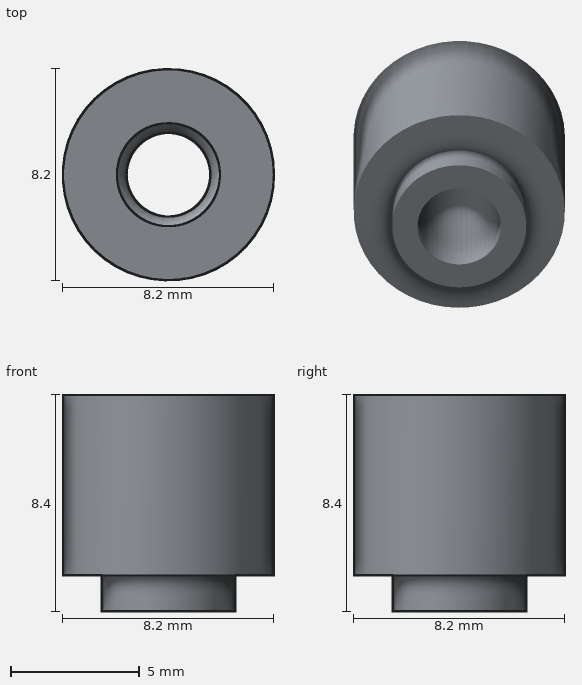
import cadquery as cq

body_diameter = 8.2
spigot_diameter = 5.2
bore_diameter = 3.24
chamfer_diameter = 4.0
total_height = 8.4
spigot_height = 1.4

chamfer_size = (chamfer_diameter - bore_diameter) / 2
body_height = total_height - spigot_height


def stepped_bushing():
    """Cylindrical body standing on a narrower spigot, spigot base at Z = 0."""
    spigot = cq.Workplane("XY").circle(spigot_diameter / 2).extrude(spigot_height)
    return spigot.faces(">Z").workplane().circle(body_diameter / 2).extrude(body_height)


def cut_bore(part):
    """Cut the through bore and chamfer its upper mouth."""
    bored = part.faces(">Z").workplane().hole(bore_diameter)
    upper_mouth = cq.selectors.RadiusNthSelector(0)
    return bored.faces(">Z").edges(upper_mouth).chamfer(chamfer_size)


result = cut_bore(stepped_bushing())